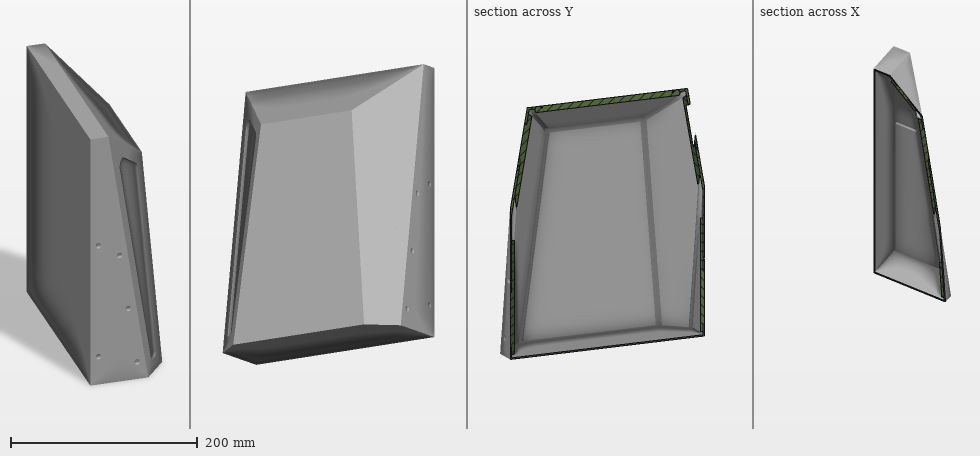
import cadquery as cq

width = 229.0
height = 296.2
top_depth = 20.5
side_depth_bottom = 65.0
back_depth_bottom = 90.0
back_depth_top = 75.2
back_height = 242.0
back_width_bottom = 168.3
half_width = width / 2

wall = 2.0
window_margin = 14.0
window_fillet = 9.0
narrow_fillet = 4.7
side_panel_height = 195.5
flange_margin = 5.3
flange_thickness = 3.0
window_recess = 3.3

screw_margin = 9.2
screw_radius = 3.1
back_screw_margin = 9.8
back_screw_radius = 3.9
countersink_depth = 1.5
countersink_floor_radius = 1.5
side_screws_front = (33.5, 100.0, 166.8)
side_screws_rear = (22.2, 88.5, 154.5)
plain_side_screw = 1
slope_screws_front = (54.5, 134.0, 213.3)
slope_screws_rear = (28.0, 107.2, 186.5)
slope_screw_top = 61.0
top_screw_pitch = 50.5
top_screw_end = 43.5
back_screws = (69.3, 137.5, 205.5)


def mirrored(point):
    return cq.Vector(-point.x, point.y, point.z)


side_top = cq.Vector(-half_width, top_depth, height)
side_bottom = cq.Vector(-half_width, side_depth_bottom, 0)
back_bottom = cq.Vector(-back_width_bottom / 2, back_depth_bottom, 0)
slope_normal = (back_bottom - side_bottom).cross(side_top - side_bottom)
to_back_top = cq.Vector(0, back_depth_top - side_depth_bottom, back_height)
back_top_x = -half_width - slope_normal.dot(to_back_top) / slope_normal.x
back_top = cq.Vector(back_top_x, back_depth_top, back_height)


class Panel:
    """A flat face of the enclosure; its corners run counterclockwise seen from outside."""

    def __init__(self, corners, margin=screw_margin, radius=screw_radius):
        first_edge = corners[1] - corners[0]
        normal = first_edge.cross(corners[2] - corners[1])
        self.plane = cq.Plane(corners[0], first_edge, normal)
        self.corners = corners
        self.outline = [self.plane.toLocalCoords(corner) for corner in corners]
        self.screw_margin = margin
        self.screw_radius = radius
        self.screw_centres = []

    def edge(self, number):
        start = self.outline[number]
        end = self.outline[(number + 1) % len(self.outline)]
        return start, end - start

    def add_screws(self, number, distances, from_end=False):
        """Screws beside one edge, at distances from its start or from its end."""
        start, span = self.edge(number)
        along = span.normalized()
        inward = cq.Vector(-along.y, along.x, 0)
        for distance in distances:
            reach = span.Length - distance if from_end else distance
            centre = start + along * reach + inward * self.screw_margin
            self.screw_centres.append((centre.x, centre.y))

    def add_centred_screws(self, number, pitch):
        """Three screws beside one edge, centred on it."""
        middle = self.edge(number)[1].Length / 2
        self.add_screws(number, (middle - pitch, middle, middle + pitch))

    def plate(self, margin, depth, thickness):
        """Plate inside the panel edges, starting at a depth below the surface."""
        points = [(point.x, point.y) for point in self.outline]
        base = cq.Workplane(self.plane).workplane(offset=-depth)
        return base.polyline(points).close().offset2D(-margin, "intersection").extrude(-thickness)

    def window(self, fillets, depth=wall):
        """Prism that fills the window, with one fillet radius per panel corner."""
        prism = self.plate(window_margin, 0, depth)
        through_edges = cq.selectors.ParallelDirSelector(self.plane.zDir)
        for corner, radius in zip(self.corners, fillets):
            nearest = cq.selectors.NearestToPointSelector(corner.toTuple())
            prism = prism.edges(through_edges).edges(nearest).fillet(radius)
        return prism

    def plugs(self):
        """Discs that fill the screw holes in the wall."""
        centres = cq.Workplane(self.plane).pushPoints(self.screw_centres)
        return centres.circle(self.screw_radius).extrude(-wall)

    def flange(self):
        """Plate against the inside of the wall, joined to the screw plugs."""
        return self.plate(flange_margin, wall, flange_thickness).union(self.plugs())


side_depth_at_panel_top = side_depth_bottom + (top_depth - side_depth_bottom) * side_panel_height / height
side_panel = Panel([
    side_bottom,
    cq.Vector(-half_width, 0, 0),
    cq.Vector(-half_width, 0, side_panel_height),
    cq.Vector(-half_width, side_depth_at_panel_top, side_panel_height),
])
side_panel.add_screws(1, side_screws_front)
side_panel.add_screws(3, side_screws_rear, from_end=True)
side_window = side_panel.window((window_fillet, window_fillet, narrow_fillet, narrow_fillet))

slope_panel = Panel([back_bottom, side_bottom, side_top, back_top])
slope_panel.add_screws(1, slope_screws_front)
slope_panel.add_screws(2, (slope_screw_top,))
slope_panel.add_screws(3, slope_screws_rear, from_end=True)
slope_fillets = (narrow_fillet, narrow_fillet, window_fillet, window_fillet)
slope_window = slope_panel.window(slope_fillets)

top_panel = Panel([mirrored(back_top), back_top, side_top, mirrored(side_top)])
top_panel.add_centred_screws(0, top_screw_pitch)
top_panel.add_screws(1, (top_screw_end,), from_end=True)
top_panel.add_centred_screws(2, top_screw_pitch)
top_panel.add_screws(3, (top_screw_end,))
top_window = top_panel.window([window_fillet] * 4)

back_panel = Panel(
    [mirrored(back_bottom), back_bottom, back_top, mirrored(back_top)], back_screw_margin, back_screw_radius
)
back_panel.add_screws(1, back_screws)
back_panel.add_screws(3, back_screws, from_end=True)
back_window = back_panel.window([window_fillet] * 4)


def make_housing():
    """Sheet shell, open at the front, with a window and screw holes in each covered panel."""
    profile = [
        (0, 0),
        (back_depth_bottom, 0),
        (back_depth_top, back_height),
        (top_depth, height),
        (0, height),
    ]
    block = cq.Workplane("YZ").polyline(profile).close().extrude(half_width, both=True)
    outside_slope = cq.Workplane(slope_panel.plane).rect(4 * height, 4 * height).extrude(height)
    block = block.cut(outside_slope).cut(outside_slope.mirror("YZ"))
    shell = block.faces("<Y").shell(-wall)
    for opening in (side_window, side_panel.plugs(), slope_window, slope_panel.plugs()):
        shell = shell.cut(opening).cut(opening.mirror("YZ"))
    for opening in (top_window, top_panel.plugs(), back_window, back_panel.plugs()):
        shell = shell.cut(opening)
    return shell


def make_front_panel():
    """Flat panel that closes the front, flush between the walls."""
    centre = cq.Workplane("XZ").center(0, height / 2)
    return centre.rect(width - 2 * wall, height - 2 * wall).extrude(-wall)


def make_flush_cover(panel, window):
    """Flange behind the wall with a pad that fills the window flush with the outside."""
    return panel.flange().union(window)


def make_side_cover():
    """Left side cover: flush, with countersinks in all screw plugs but one."""
    cover = make_flush_cover(side_panel, side_window)
    for number, (x, y) in enumerate(side_panel.screw_centres):
        if number != plain_side_screw:
            mouth = cq.Workplane(side_panel.plane).center(x, y).circle(screw_radius)
            floor = mouth.workplane(offset=-countersink_depth).circle(countersink_floor_radius)
            cover = cover.cut(floor.loft())
    return cover


def make_recessed_slope_cover():
    """Right slope cover: no pad, and a pocket in the flange below the open window."""
    pocket = slope_panel.window(slope_fillets, window_recess)
    return slope_panel.flange().cut(pocket).mirror("YZ")


housing = make_housing()
front_panel = make_front_panel()
left_side_cover = make_side_cover()
right_side_cover = left_side_cover.mirror("YZ")
left_slope_cover = make_flush_cover(slope_panel, slope_window)
right_slope_cover = make_recessed_slope_cover()
top_cover = make_flush_cover(top_panel, top_window)
back_cover = make_flush_cover(back_panel, back_window)

result = cq.Compound.makeCompound([
    housing.val(),
    front_panel.val(),
    left_side_cover.val(),
    right_side_cover.val(),
    left_slope_cover.val(),
    right_slope_cover.val(),
    top_cover.val(),
    back_cover.val(),
])